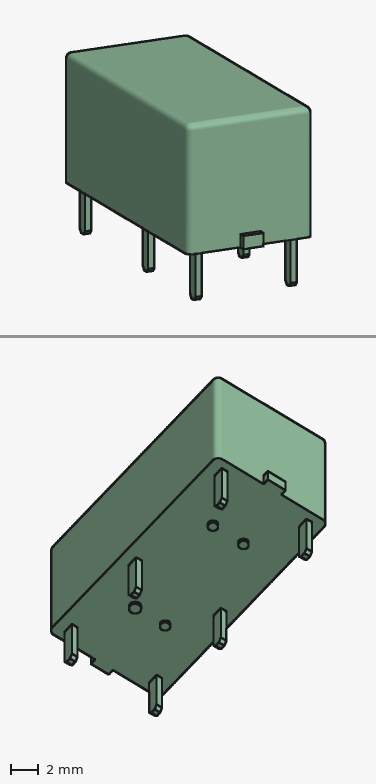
import cadquery as cq

case_length = 20.0
case_width = 10.01
case_height = 9.75
case_fillet = 0.48

tab_reach = 0.5
tab_width = 1.6
tab_height = 1.0

grid_pitch = 2.54
pin_row_spacing = 3 * grid_pitch
first_pin_x = -3.5 * grid_pitch
pin_columns = [first_pin_x, first_pin_x + 4 * grid_pitch, first_pin_x + 7 * grid_pitch]
pin_width = 0.9
pin_thickness = 0.5
pin_length = 3.75
tip_chamfer_height = 0.3
tip_chamfer_width = 0.25

standoff_height = 0.25
standoff_diameter = 0.75
standoff_left_x = -4.87
standoff_right_x = 4.42
standoff_front_y = -1.27
standoff_back_y = 1.47
standoff_centers = [
    (standoff_left_x, standoff_front_y),
    (standoff_left_x, standoff_back_y),
    (standoff_right_x, standoff_front_y),
]
pad_diameter = 0.88
pad_center = (4.43, 1.42)


def make_case():
    """Box with rounded top and vertical edges and a sharp lower rim."""
    box = cq.Workplane("XY").box(case_length, case_width, case_height, centered=(True, True, False))
    return box.edges("|Z or >Z").fillet(case_fillet)


def make_tabs():
    """One bar through the case whose two ends form the tabs."""
    bar_length = case_length + 2 * tab_reach
    return cq.Workplane("XY").box(bar_length, tab_width, tab_height, centered=(True, True, False))


def make_pin(x, y):
    """Flat pin hanging from the underside, with both tip corners cut."""
    half_width = pin_width / 2
    tip_half_width = half_width - tip_chamfer_width
    chamfer_start = -pin_length + tip_chamfer_height
    outline = [
        (-half_width, 0),
        (half_width, 0),
        (half_width, chamfer_start),
        (tip_half_width, -pin_length),
        (-tip_half_width, -pin_length),
        (-half_width, chamfer_start),
    ]
    pin = cq.Workplane("XZ").polyline(outline).close().extrude(pin_thickness / 2, both=True)
    return pin.translate((x, y, 0))


def make_standoffs():
    """Three equal round standoffs and the wider pad, all the same height."""
    standoffs = cq.Workplane("XY").pushPoints(standoff_centers).circle(standoff_diameter / 2)
    pad = cq.Workplane("XY").center(*pad_center).circle(pad_diameter / 2)
    return standoffs.extrude(-standoff_height).union(pad.extrude(-standoff_height))


result = make_case().union(make_tabs()).union(make_standoffs())
for pin_x in pin_columns:
    for row_side in (-1, 1):
        result = result.union(make_pin(pin_x, row_side * pin_row_spacing / 2))